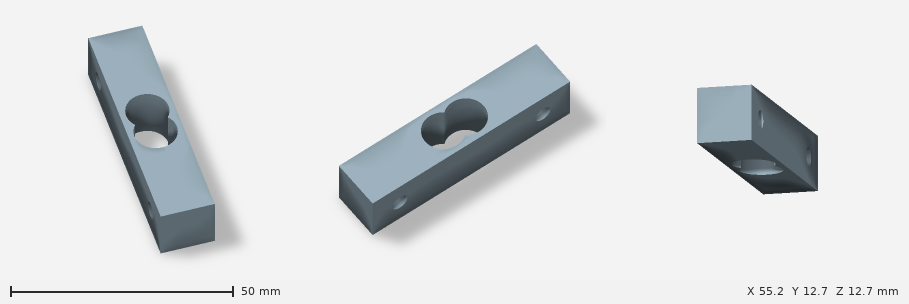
import cadquery as cq

bar_length = 55.25
bar_width = 12.7

mount_hole_diameter = 4.15
mount_hole_spacing = 40.0

bore_diameter = 9.95
bore_spacing = 6.35


def drill_pair(body, plane, diameter, spacing):
    """Drill two holes through the body, spaced evenly about its middle along X."""
    for x in (-spacing / 2, spacing / 2):
        drill = cq.Workplane(plane).center(x, 0).cylinder(2 * bar_width, diameter / 2)
        body = body.cut(drill)
    return body


bar = cq.Workplane("XY").box(bar_length, bar_width, bar_width)
bar = drill_pair(bar, "XZ", mount_hole_diameter, mount_hole_spacing)
result = drill_pair(bar, "XY", bore_diameter, bore_spacing)